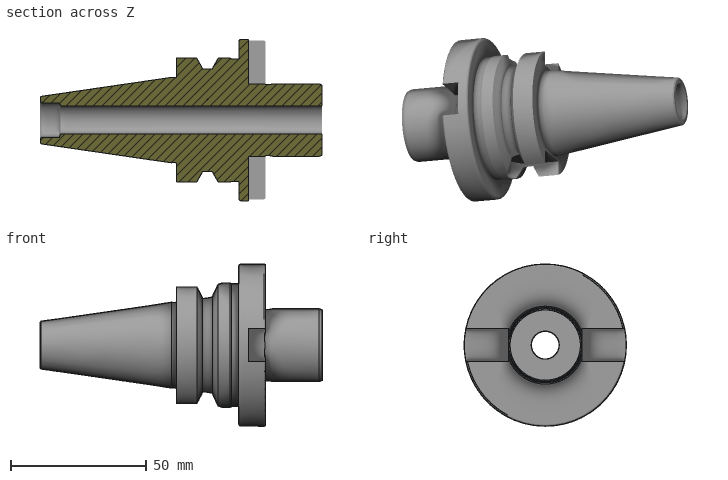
import cadquery as cq
import math


taper_rate = 7 / 24
gauge_diameter = 31.75
taper_length = 48.4
tail_chamfer = 0.4
relief_diameter = 31.55
taper_overrun = 0.2
relief_start = 0.7
relief_root_radius = 0.5

flange_diameter = 46.0
flange_start = 2.0
flange_end = 21.85
groove_diameter = 38.1
groove_start = 9.55
groove_end = 17.45
groove_side_angle = 60.0
groove_side_length = 1.9
groove_root_length = 0.25

neck_diameter = 45.5
neck_slope_length = 0.6
shoulder_diameter = 60.0
shoulder_start = 25.0
shoulder_end = 35.0
shoulder_front_round = 1.0
shoulder_back_round = 0.6
pilot_diameter = 27.0
pilot_length = 21.0
pilot_chamfer_length = 1.2
pilot_chamfer_depth = 0.5
undercut_diameter = 26.4
undercut_width = 1.2
undercut_slope_length = 1.5
face_recess_diameter = 28.8
face_recess_depth = 0.4
undercut_root_radius = 0.7

bore_diameter = 10.2
counterbore_diameter = 12.5
counterbore_depth = 7.0
mouth_diameter = 13.7
mouth_chamfer_length = 0.75
counterbore_floor_angle = 60.0

key_slot_width = 16.1
key_slot_end = 19.0
key_slot_floor = 16.3

drive_slot_width = 12.2
drive_slot_depth = 6.3
drive_slot_floor = pilot_diameter / 2

tail_x = -taper_length
pilot_end = shoulder_end + pilot_length


def taper_radius(x):
    """Radius of the taper at position x."""
    return (gauge_diameter + x * taper_rate) / 2


def revolve_about_x(outline):
    """Turn a closed half-outline in the XY plane about the X axis."""
    return outline.close().revolve(360, (0, 0, 0), (1, 0, 0))


def turned_body():
    flange_radius = flange_diameter / 2
    groove_radius = groove_diameter / 2
    neck_radius = neck_diameter / 2
    shoulder_radius = shoulder_diameter / 2
    pilot_radius = pilot_diameter / 2
    undercut_radius = undercut_diameter / 2
    relief_radius = relief_diameter / 2
    groove_side_radius = flange_radius - groove_side_length * math.tan(math.radians(groove_side_angle))
    groove_floor_inset = groove_side_length + groove_root_length
    recess_x = shoulder_end - face_recess_depth
    undercut_end = shoulder_end + undercut_width

    outline = (
        cq.Workplane("XY")
        .moveTo(tail_x, 0)
        .lineTo(tail_x, taper_radius(tail_x) - tail_chamfer)
        .lineTo(tail_x + tail_chamfer, taper_radius(tail_x + tail_chamfer))
        .lineTo(taper_overrun, taper_radius(taper_overrun))
        .lineTo(relief_start, relief_radius)
        .lineTo(flange_start - relief_root_radius, relief_radius)
        .radiusArc((flange_start, relief_radius + relief_root_radius), -relief_root_radius)
        .lineTo(flange_start, flange_radius)
        .lineTo(groove_start, flange_radius)
        .lineTo(groove_start + groove_side_length, groove_side_radius)
        .lineTo(groove_start + groove_floor_inset, groove_radius)
        .lineTo(groove_end - groove_floor_inset, groove_radius)
        .lineTo(groove_end - groove_side_length, groove_side_radius)
        .lineTo(groove_end, flange_radius)
        .lineTo(flange_end, flange_radius)
        .lineTo(flange_end + neck_slope_length, neck_radius)
        .lineTo(shoulder_start, neck_radius)
        .lineTo(shoulder_start, shoulder_radius - shoulder_front_round)
        .radiusArc((shoulder_start + shoulder_front_round, shoulder_radius), shoulder_front_round)
        .lineTo(shoulder_end - shoulder_back_round, shoulder_radius)
        .radiusArc((shoulder_end, shoulder_radius - shoulder_back_round), shoulder_back_round)
        .lineTo(shoulder_end, face_recess_diameter / 2)
        .lineTo(recess_x, undercut_radius + undercut_root_radius)
        .radiusArc((recess_x + undercut_root_radius, undercut_radius), -undercut_root_radius)
        .lineTo(undercut_end, undercut_radius)
        .lineTo(undercut_end + undercut_slope_length, pilot_radius)
        .lineTo(pilot_end - pilot_chamfer_length, pilot_radius)
        .lineTo(pilot_end, pilot_radius - pilot_chamfer_depth)
        .lineTo(pilot_end, 0)
    )
    return revolve_about_x(outline)


def axial_bore():
    counterbore_end = tail_x + counterbore_depth
    counterbore_step = (counterbore_diameter - bore_diameter) / 2
    floor_length = counterbore_step / math.tan(math.radians(counterbore_floor_angle))
    outline = (
        cq.Workplane("XY")
        .moveTo(tail_x, 0)
        .lineTo(tail_x, mouth_diameter / 2)
        .lineTo(tail_x + mouth_chamfer_length, counterbore_diameter / 2)
        .lineTo(counterbore_end, counterbore_diameter / 2)
        .lineTo(counterbore_end + floor_length, bore_diameter / 2)
        .lineTo(pilot_end, bore_diameter / 2)
        .lineTo(pilot_end, 0)
    )
    return revolve_about_x(outline)


def key_slot(side):
    """Round-ended slot open to the taper side; side is +1 at +Z and -1 at -Z."""
    half_width = key_slot_width / 2
    round_centre = key_slot_end - half_width
    return (
        cq.Workplane("XY")
        .workplane(offset=side * key_slot_floor)
        .moveTo(flange_start, -half_width)
        .lineTo(round_centre, -half_width)
        .threePointArc((key_slot_end, 0), (round_centre, half_width))
        .lineTo(flange_start, half_width)
        .close()
        .extrude(side * (flange_diameter / 2 - key_slot_floor))
    )


def drive_slot(side):
    """Square slot open to the pilot side; side is +1 at +Y and -1 at -Y."""
    radial_length = shoulder_diameter / 2 - drive_slot_floor
    centre_x = shoulder_end - drive_slot_depth / 2
    centre_y = side * (drive_slot_floor + radial_length / 2)
    block = cq.Workplane("XY").box(drive_slot_depth, radial_length, drive_slot_width)
    return block.translate((centre_x, centre_y, 0))


result = turned_body().cut(axial_bore())
for side in (1, -1):
    result = result.cut(key_slot(side)).cut(drive_slot(side))